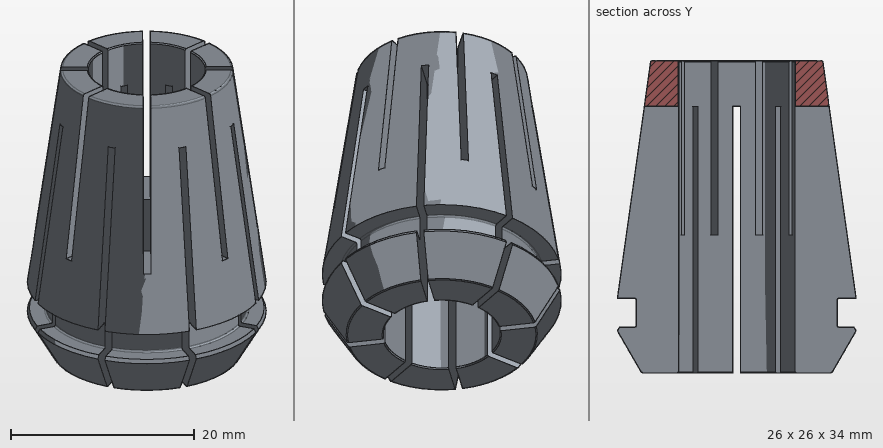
import cadquery as cq
import math

LENGTH = 34.0
MAX_RADIUS = 26.0 / 2
BORE_RADIUS = 12.7 / 2

TAPER_BASE_Z = 8.13
TAPER_ANGLE = 8.0
TOP_ROUND = 0.25
BORE_CHAMFER = 0.15

GROOVE_RADIUS = 10.95
GROOVE_BOTTOM_Z = 5.0
GROOVE_ROUND = 0.2

RIM_Z = 4.6
RIM_BEVEL = 0.25
NOSE_ANGLE = 30.0
NOSE_CHAMFER = 0.1

SLOTS_PER_END = 8
SLOT_WIDTH = 0.8
LOWER_SLOT_TOP = 29.0
UPPER_SLOT_BOTTOM = 15.0
SLOT_OVERRUN = 0.35


def make_body():
    """Revolve the solid outer shape: nose, groove and long taper."""
    nose_end_radius = MAX_RADIUS - RIM_Z * math.tan(math.radians(NOSE_ANGLE))
    taper_height = LENGTH - TAPER_BASE_Z
    taper_end_radius = MAX_RADIUS - taper_height * math.tan(math.radians(TAPER_ANGLE))
    body = (
        cq.Workplane("XZ")
        .lineTo(nose_end_radius, 0)
        .lineTo(MAX_RADIUS, RIM_Z)
        .lineTo(MAX_RADIUS - RIM_BEVEL, GROOVE_BOTTOM_Z)
        .lineTo(GROOVE_RADIUS, GROOVE_BOTTOM_Z)
        .lineTo(GROOVE_RADIUS, TAPER_BASE_Z)
        .lineTo(MAX_RADIUS, TAPER_BASE_Z)
        .lineTo(taper_end_radius, LENGTH)
        .lineTo(0, LENGTH)
        .close()
        .revolve(360, (0, 0, 0), (0, 1, 0))
    )
    box_radius = GROOVE_RADIUS + GROOVE_ROUND
    groove_corners = cq.selectors.BoxSelector(
        (-box_radius, -box_radius, GROOVE_BOTTOM_Z - GROOVE_ROUND),
        (box_radius, box_radius, TAPER_BASE_Z + GROOVE_ROUND),
        boundingbox=True,
    )
    return (
        body.faces(">Z").edges().fillet(TOP_ROUND)
        .faces("<Z").edges().chamfer(NOSE_CHAMFER)
        .edges(groove_corners).fillet(GROOVE_ROUND)
    )


def cut_bore(body):
    """Cut the through bore and break its edge at both ends."""
    bored = body.faces("<Z").workplane().hole(2 * BORE_RADIUS)
    bore_edges = bored.faces("<Z or >Z").edges(cq.selectors.RadiusNthSelector(0))
    return bore_edges.chamfer(BORE_CHAMFER)


def make_slots(bottom, top, first_angle):
    """Ring of radial slots from the axis outward, between two heights."""
    reach = MAX_RADIUS + SLOT_OVERRUN
    slot = cq.Workplane("XY", origin=(0, 0, bottom)).box(
        reach, SLOT_WIDTH, top - bottom, centered=(False, True, False)
    )
    slots = cq.Workplane("XY")
    for index in range(SLOTS_PER_END):
        angle = first_angle + index * 360 / SLOTS_PER_END
        slots = slots.add(slot.rotate((0, 0, 0), (0, 0, 1), angle))
    return slots.combine()


lower_slots = make_slots(-SLOT_OVERRUN, LOWER_SLOT_TOP, 0)
upper_slots = make_slots(UPPER_SLOT_BOTTOM, LENGTH + SLOT_OVERRUN, 180 / SLOTS_PER_END)

result = cut_bore(make_body()).cut(lower_slots).cut(upper_slots)